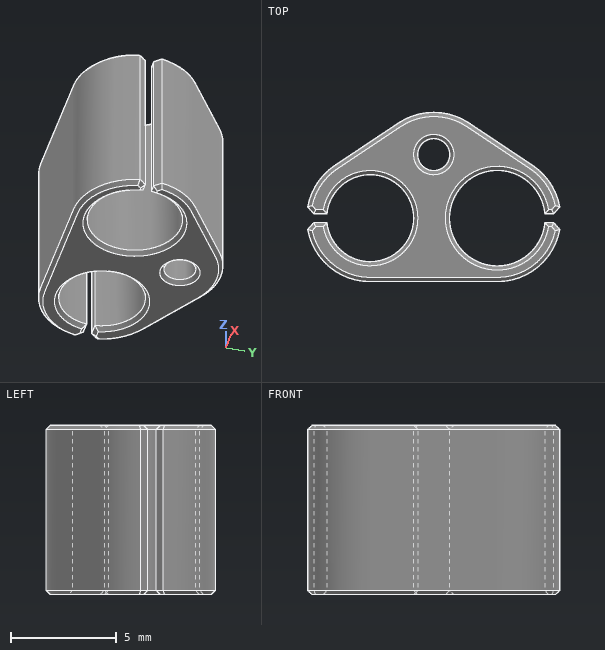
import cadquery as cq

height = 8.0
outer_radius = 3.0
bore_spacing = 6.0
apex_y = 2.0
left_bore_diameter = 4.09
right_bore_diameter = 4.5
pin_hole_diameter = 1.5
pin_hole_y = 3.0
slot_width = 0.4
slot_corner_chamfer = 0.33
edge_chamfer = 0.2

bore_x = bore_spacing / 2
slot_depth = 2 * outer_radius


def make_body():
    """Rounded triangle: the corner-centre triangle grown by the corner radius."""
    return (
        cq.Workplane("XY")
        .polyline([(-bore_x, 0), (bore_x, 0), (0, apex_y)])
        .close()
        .offset2D(outer_radius, "arc")
        .extrude(height)
    )


def cylinder(x, y, diameter):
    return cq.Workplane("XY").center(x, y).circle(diameter / 2).extrude(height)


def slot(side):
    """Opening from a bore centre out through the side wall (side is -1 or 1)."""
    return (
        cq.Workplane("XY")
        .center(side * (bore_x + slot_depth / 2), 0)
        .rect(slot_depth, slot_width)
        .extrude(height)
    )


def chamfer_slot_mouths(body):
    """Bevel the four vertical edges where the slots meet the outer wall."""
    half_slot = slot_width / 2
    mouth_x = bore_x + (outer_radius**2 - half_slot**2) ** 0.5
    for x in (-mouth_x, mouth_x):
        for y in (-half_slot, half_slot):
            edge = cq.selectors.NearestToPointSelector((x, y, height / 2))
            body = body.edges(edge).chamfer(slot_corner_chamfer)
    return body


result = make_body()
result = result.cut(cylinder(-bore_x, 0, left_bore_diameter))
result = result.cut(cylinder(bore_x, 0, right_bore_diameter))
result = result.cut(cylinder(0, pin_hole_y, pin_hole_diameter))
for side in (-1, 1):
    result = result.cut(slot(side))
result = chamfer_slot_mouths(result)
result = result.faces("<Z or >Z").edges().chamfer(edge_chamfer)